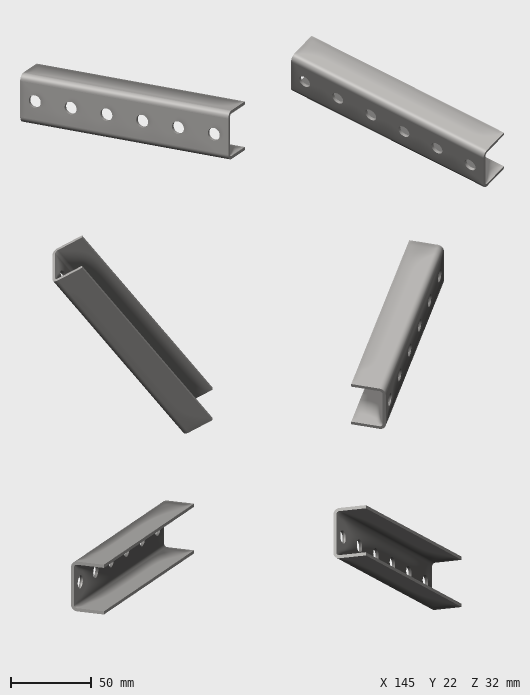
import cadquery as cq

length = 145.0
depth = 22.0
height = 32.0
wall = 2.0
outer_bend_radius = 4.0
inner_bend_radius = outer_bend_radius - wall

hole_count = 6
hole_pitch = 25.0
hole_diameter = 8.3


def bar(bar_depth, bar_height, bend_radius):
    """Full-length bar from the Y = 0 plane to -Y, with both -Y edges rounded."""
    block = cq.Workplane("XY").box(length, bar_depth, bar_height)
    return block.translate((0, -bar_depth / 2, 0)).edges("|X and <Y").fillet(bend_radius)


def web_holes():
    """Cutters through the web, evenly spaced about the channel's middle."""
    return (
        cq.Workplane("XZ")
        .rarray(hole_pitch, 1.5, hole_count, 1)
        .circle(hole_diameter / 2)
        .extrude(depth)
    )


outside = bar(depth, height, outer_bend_radius)
inside = bar(depth - wall, height - 2 * wall, inner_bend_radius)
result = outside.cut(inside).cut(web_holes())